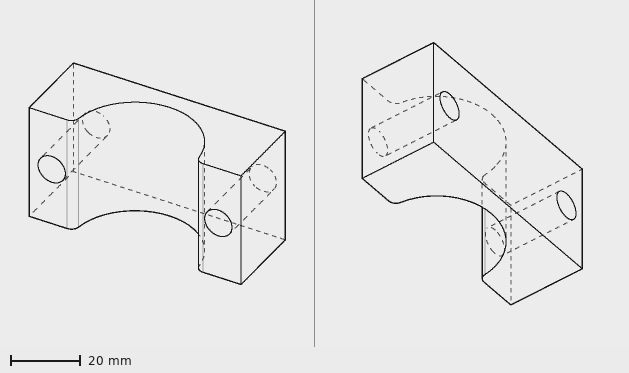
import cadquery as cq

length = 70.0
depth = 26.0
height = 38.0

saddle_radius = 20.0
lip_radius = 2.5

hole_diameter = 9.0
hole_spacing = 55.0


def make_block():
    """Block with its front face on Y = 0, centred on X and Z."""
    return cq.Workplane("XY").box(length, depth, height).translate((0, depth / 2, 0))


def cut_saddle(body):
    """Cut the half-round saddle along Z and round its two front lips."""
    cutter = cq.Workplane("XY").circle(saddle_radius).extrude(height / 2, both=True)
    lip_points = [(side * saddle_radius, 0, 0) for side in (-1, 1)]
    body = body.cut(cutter)
    for point in lip_points:
        body = body.edges(cq.selectors.NearestToPointSelector(point)).fillet(lip_radius)
    return body


def cut_bolt_holes(body):
    """Drill one through hole on each side of the saddle."""
    hole_points = [(side * hole_spacing / 2, 0) for side in (-1, 1)]
    cutter = cq.Workplane("XZ").pushPoints(hole_points).circle(hole_diameter / 2).extrude(-depth)
    return body.cut(cutter)


result = cut_bolt_holes(cut_saddle(make_block()))